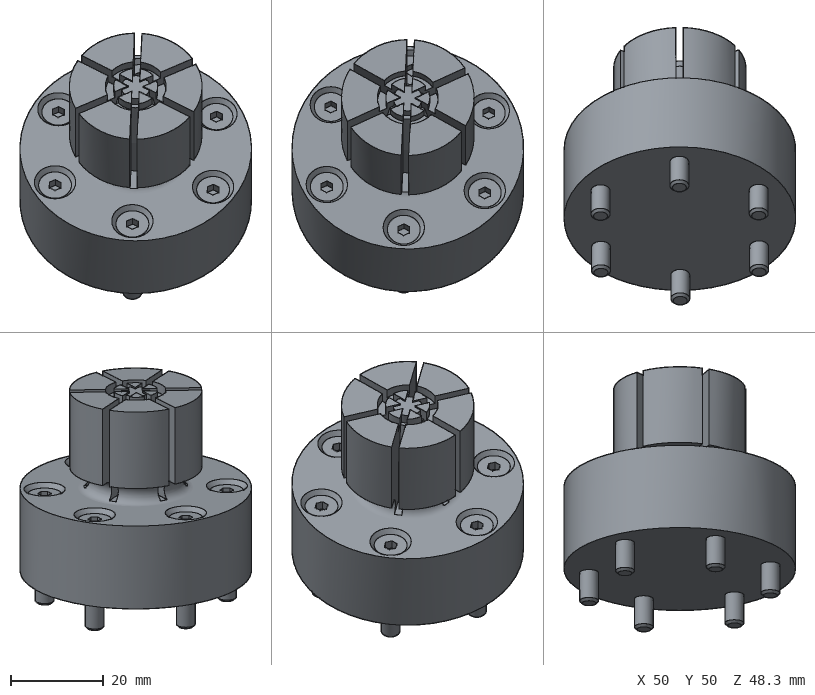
import cadquery as cq
import math

base_radius = 25.0
base_height = 19.0

neck_height = 4.8
neck_groove_radius = neck_height / 2
neck_waist_radius = 10.0
neck_end_radius = neck_waist_radius + neck_groove_radius

collar_radius = 14.3
collar_height = 17.5
collar_bottom = base_height + neck_height
collar_top = collar_bottom + collar_height

ring_outer_radius = 6.55
ring_inner_radius = 4.75
ring_depth = 2.15

core_shaft_radius = 6.4
core_shoulder_radius = 3.95
core_tip_radius = 3.1
core_tip_recess = 0.35
core_tip_height = 2.15
core_taper_height = 9.5
core_tip_top = collar_top - core_tip_recess
core_shoulder_top = core_tip_top - core_tip_height
core_shaft_top = core_shoulder_top - core_taper_height

slot_count = 3
slot_length = 2 * collar_radius
slot_width = 1.6
slot_floor_lift = 0.35
slot_floor = base_height + slot_floor_lift
first_slot_angle = 30.0
slot_spacing = 180.0 / slot_count

screw_count = 6
screw_circle_radius = 19.7
screw_spacing = 360.0 / screw_count
first_screw_angle = 30.0
countersink_radius = 4.45
screw_head_radius = 3.55
countersink_depth = 1.0
socket_across_flats = 2.5
socket_depth = 2.0
shank_radius = 2.05
shank_length = 7.0
shank_chamfer = 0.55


def turned_body():
    """Base, neck and collar as one revolved profile."""
    profile = (
        cq.Workplane("XZ")
        .lineTo(base_radius, 0)
        .lineTo(base_radius, base_height)
        .lineTo(neck_end_radius, base_height)
        .threePointArc(
            (neck_waist_radius, base_height + neck_groove_radius),
            (neck_end_radius, collar_bottom),
        )
        .lineTo(collar_radius, collar_bottom)
        .lineTo(collar_radius, collar_top)
        .lineTo(0, collar_top)
        .close()
    )
    return profile.revolve(360, (0, 0, 0), (0, 1, 0))


def ring_groove():
    """Annular cutter for the groove in the collar's top face."""
    return (
        cq.Workplane("XY", origin=(0, 0, collar_top - ring_depth))
        .circle(ring_outer_radius)
        .circle(ring_inner_radius)
        .extrude(ring_depth)
    )


def tapered_core():
    """Straight shaft, taper, shoulder and straight tip."""
    profile = (
        cq.Workplane("XZ")
        .moveTo(0, slot_floor)
        .lineTo(core_shaft_radius, slot_floor)
        .lineTo(core_shaft_radius, core_shaft_top)
        .lineTo(core_shoulder_radius, core_shoulder_top)
        .lineTo(core_tip_radius, core_shoulder_top)
        .lineTo(core_tip_radius, core_tip_top)
        .lineTo(0, core_tip_top)
        .close()
    )
    return profile.revolve(360, (0, 0, 0), (0, 1, 0))


def jaw_slots():
    """Slots across the full collar, leaving the tapered core uncut."""
    slots = cq.Workplane("XY")
    for index in range(slot_count):
        slot = (
            cq.Workplane("XY", origin=(0, 0, slot_floor))
            .rect(slot_length, slot_width)
            .extrude(collar_top - slot_floor)
            .rotate((0, 0, 0), (0, 0, 1), first_slot_angle + index * slot_spacing)
        )
        slots = slots.union(slot)
    return slots.cut(tapered_core())


def screw_centres():
    """XY positions of the screws around the bolt circle."""
    angles = [math.radians(first_screw_angle + index * screw_spacing) for index in range(screw_count)]
    return [(screw_circle_radius * math.cos(a), screw_circle_radius * math.sin(a)) for a in angles]


def screw_recess(x, y):
    """Conical recess above a screw head, with the hexagon socket below it."""
    cone = (
        cq.Workplane("XY", origin=(x, y, base_height))
        .circle(countersink_radius)
        .workplane(offset=-countersink_depth)
        .circle(screw_head_radius)
        .loft(ruled=True)
    )
    across_corners = socket_across_flats / math.cos(math.pi / 6)
    socket = (
        cq.Workplane("XY", origin=(x, y, base_height - countersink_depth))
        .transformed(rotate=(0, 0, 90))
        .polygon(6, across_corners)
        .extrude(-socket_depth)
    )
    return cone.union(socket)


def screw_shank(x, y):
    """Chamfered screw end standing out below the base."""
    return (
        cq.Workplane("XY", origin=(x, y, 0))
        .circle(shank_radius)
        .extrude(-shank_length)
        .faces("<Z")
        .chamfer(shank_chamfer)
    )


result = turned_body().cut(ring_groove()).cut(jaw_slots())
for centre_x, centre_y in screw_centres():
    result = result.cut(screw_recess(centre_x, centre_y))
    result = result.union(screw_shank(centre_x, centre_y))